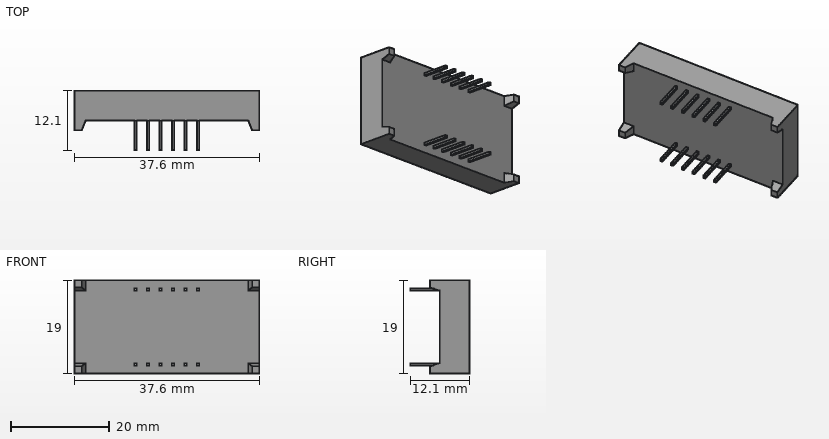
import cadquery as cq

body_width = 37.6
body_height = 19.0
body_depth = 6.1

foot_length = 2.0
foot_base_width = 2.3
foot_base_height = 2.15
foot_tip_width = 1.5
foot_tip_height = 1.5

pins_per_row = 6
pin_row_count = 2
pin_pitch = 2.54
pin_row_spacing = 15.24
pin_size = 0.5
pin_length = 6.0

PIN_FACE = "XZ"


def make_body():
    """Plain block running from the pin face at Y = 0 to +Y."""
    return cq.Workplane(PIN_FACE).rect(body_width, body_height).extrude(-body_depth)


def make_foot(x_side, z_side):
    """Tapered foot in one corner; x_side and z_side are +1 or -1."""
    corner_x = x_side * body_width / 2
    corner_z = z_side * body_height / 2

    base_center_x = corner_x - x_side * foot_base_width / 2
    base_center_z = corner_z - z_side * foot_base_height / 2
    tip_center_x = corner_x - x_side * foot_tip_width / 2
    tip_center_z = corner_z - z_side * foot_tip_height / 2

    return (
        cq.Workplane(PIN_FACE)
        .center(base_center_x, base_center_z)
        .rect(foot_base_width, foot_base_height)
        .workplane(offset=foot_length)
        .center(tip_center_x - base_center_x, tip_center_z - base_center_z)
        .rect(foot_tip_width, foot_tip_height)
        .loft(ruled=True)
    )


def make_pins():
    """Two rows of square pins centred on the block."""
    return (
        cq.Workplane(PIN_FACE)
        .rarray(pin_pitch, pin_row_spacing, pins_per_row, pin_row_count)
        .rect(pin_size, pin_size)
        .extrude(pin_length)
    )


result = make_body().union(make_pins())
for x_side in (-1, 1):
    for z_side in (-1, 1):
        result = result.union(make_foot(x_side, z_side))